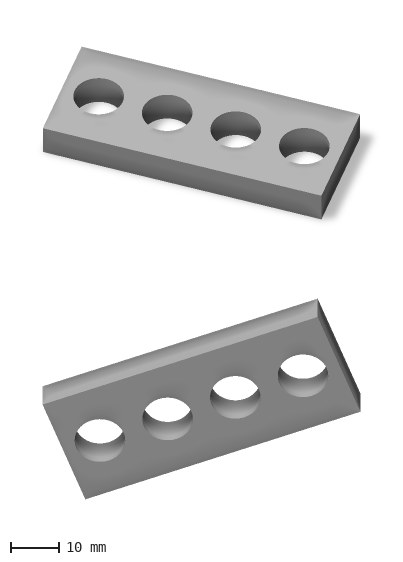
import cadquery as cq

length = 61.0
width = 25.0
thickness = 7.0

hole_count = 4
hole_diameter = 10.5
hole_pitch = 15.0

plate = cq.Workplane("XY").box(length, width, thickness)

result = (
    plate.faces(">Z")
    .workplane()
    .rarray(hole_pitch, 0.6, hole_count, 1)
    .hole(hole_diameter)
)